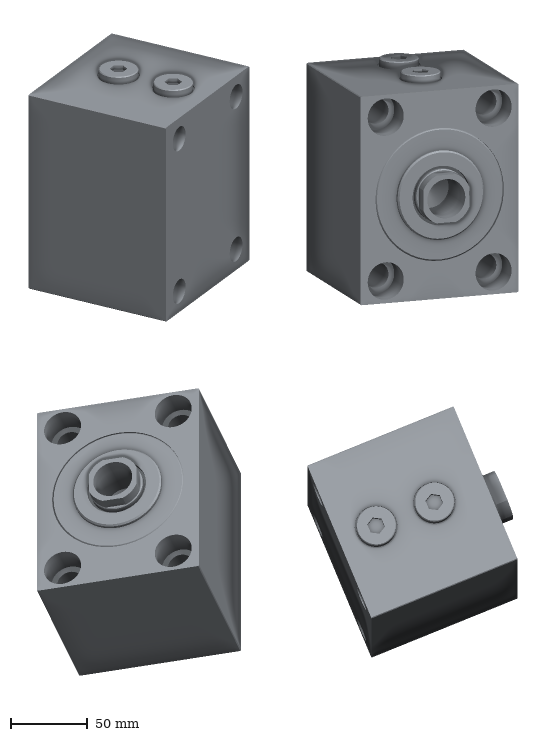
import cadquery as cq
import math


BLOCK_LENGTH = 103.3
BLOCK_WIDTH = 110.0
BLOCK_HEIGHT = 140.0
BLOCK_CHAMFER = 0.6

BOLT_SPACING_Y = 75.0
BOLT_SPACING_Z = BLOCK_WIDTH
BOLT_HOLE_DIAMETER = 17.0
BOLT_HEAD_DIAMETER = 25.0
BOLT_HEAD_DEPTH = 18.0

GLAND_DIAMETER = 89.3
GLAND_DEPTH = 43.5
GLAND_CHAMFER = 1.0
COLLAR_DIAMETER = 60.0
COLLAR_HEIGHT = 3.0
COLLAR_CHAMFER = 1.0
WIPER_RECESS_DIAMETER = 39.8
WIPER_RECESS_DEPTH = 2.9

ROD_DIAMETER = 36.0
ROD_PROTRUSION = 12.8
ROD_CHAMFER = 0.6
WRENCH_LENGTH = 8.0
WRENCH_FLATS = 32.0
WRENCH_DIAMETER = ROD_DIAMETER - 2 * ROD_CHAMFER
SOCKET_DIAMETER = 26.4
SOCKET_DEPTH = 31.9
DRILL_POINT_ANGLE = 118

PLUG_FIRST_X = 36.2
PLUG_SPACING = 41.2
PLUG_COUNT = 2
PLUG_HEAD_DIAMETER = 26.1
PLUG_HEAD_HEIGHT = 4.9
PLUG_HEAD_CHAMFER = 0.6
PLUG_SHANK_DIAMETER = 21.0
PLUG_SHANK_LENGTH = 14.0
PLUG_HEX_FLATS = 10.0
PLUG_HEX_DEPTH = 3.0
SPOTFACE_DIAMETER = 28.0
SPOTFACE_DEPTH = 1.0

BLOCK_TOP = BLOCK_HEIGHT / 2
PLUG_POSITIONS = [PLUG_FIRST_X + i * PLUG_SPACING for i in range(PLUG_COUNT)]


def rod_axis_cylinder(diameter, start, end):
    """Cylinder on the rod axis between two X positions."""
    return cq.Workplane("YZ", origin=(start, 0, 0)).circle(diameter / 2).extrude(end - start)


def port_cylinder(x, diameter, bottom, top):
    """Upright cylinder on a port axis between two Z positions."""
    return cq.Workplane("XY", origin=(x, 0, bottom)).circle(diameter / 2).extrude(top - bottom)


def make_housing():
    block = cq.Workplane("XY").box(BLOCK_LENGTH, BLOCK_WIDTH, BLOCK_HEIGHT)
    block = block.edges("|X").chamfer(BLOCK_CHAMFER)
    block = block.translate((BLOCK_LENGTH / 2, 0, 0))

    block = (
        block.faces("<X")
        .workplane(origin=(0, 0, 0))
        .rect(BOLT_SPACING_Y, BOLT_SPACING_Z, forConstruction=True)
        .vertices()
        .cboreHole(BOLT_HOLE_DIAMETER, BOLT_HEAD_DIAMETER, BOLT_HEAD_DEPTH)
    )

    block = block.cut(rod_axis_cylinder(GLAND_DIAMETER, 0, GLAND_DEPTH))

    for x in PLUG_POSITIONS:
        seat = BLOCK_TOP - SPOTFACE_DEPTH
        block = block.cut(port_cylinder(x, SPOTFACE_DIAMETER, seat, BLOCK_TOP))
        block = block.cut(port_cylinder(x, PLUG_SHANK_DIAMETER, seat - PLUG_SHANK_LENGTH, seat))
    return block


def make_gland():
    disc = rod_axis_cylinder(GLAND_DIAMETER, 0, GLAND_DEPTH).faces("<X").chamfer(GLAND_CHAMFER)
    collar = rod_axis_cylinder(COLLAR_DIAMETER, -COLLAR_HEIGHT, 0).faces("<X").chamfer(COLLAR_CHAMFER)
    bore = rod_axis_cylinder(ROD_DIAMETER, -COLLAR_HEIGHT, GLAND_DEPTH)
    recess = rod_axis_cylinder(WIPER_RECESS_DIAMETER, -COLLAR_HEIGHT, WIPER_RECESS_DEPTH - COLLAR_HEIGHT)
    return disc.union(collar).cut(bore).cut(recess)


def make_rod():
    tip = -ROD_PROTRUSION
    shoulder = tip + WRENCH_LENGTH
    shaft = rod_axis_cylinder(ROD_DIAMETER, shoulder, GLAND_DEPTH).faces("<X").chamfer(ROD_CHAMFER)

    flats = cq.Workplane("YZ", origin=(tip, 0, 0)).rect(WRENCH_FLATS, WRENCH_FLATS).extrude(WRENCH_LENGTH)
    wrench_end = rod_axis_cylinder(WRENCH_DIAMETER, tip, shoulder).intersect(flats)

    socket_radius = SOCKET_DIAMETER / 2
    point_length = socket_radius / math.tan(math.radians(DRILL_POINT_ANGLE / 2))
    socket = (
        cq.Workplane("XY")
        .moveTo(tip, 0)
        .lineTo(tip, socket_radius)
        .lineTo(tip + SOCKET_DEPTH, socket_radius)
        .lineTo(tip + SOCKET_DEPTH + point_length, 0)
        .close()
        .revolve(360, (0, 0, 0), (1, 0, 0))
    )
    return shaft.union(wrench_end).cut(socket)


def make_plug(x):
    seat = BLOCK_TOP - SPOTFACE_DEPTH
    top = BLOCK_TOP + PLUG_HEAD_HEIGHT
    head = port_cylinder(x, PLUG_HEAD_DIAMETER, seat, top).faces(">Z").chamfer(PLUG_HEAD_CHAMFER)
    shank = port_cylinder(x, PLUG_SHANK_DIAMETER, seat - PLUG_SHANK_LENGTH, seat)

    hex_diameter = PLUG_HEX_FLATS / math.cos(math.pi / 6)
    hex_socket = (
        cq.Workplane("XY", origin=(x, 0, top - PLUG_HEX_DEPTH))
        .transformed(rotate=(0, 0, 90))
        .polygon(6, hex_diameter)
        .extrude(PLUG_HEX_DEPTH)
    )
    return head.union(shank).cut(hex_socket)


housing = make_housing()
gland = make_gland()
rod = make_rod()
plugs = [make_plug(x) for x in PLUG_POSITIONS]

result = cq.Compound.makeCompound(
    [housing.val(), gland.val(), rod.val(), *[plug.val() for plug in plugs]]
)